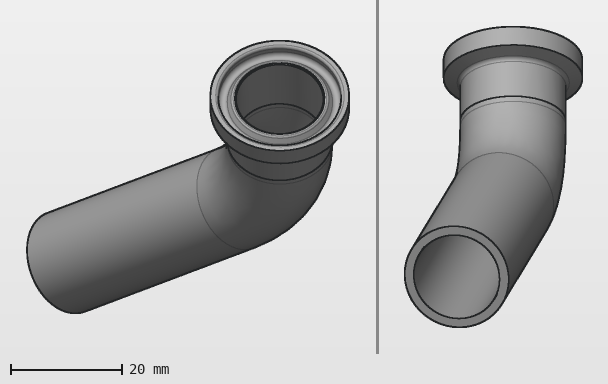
import cadquery as cq
import math

tube_radius = 9.5
wall = 1.7
bore_radius = tube_radius - wall

flange_radius = 12.5
rim_height = 3.8
ferrule_length = 12.6
flange_back_angle = 20
neck_fillet = 0.9

groove_wall_radius = 11.0
rim_round = 0.5
groove_depth = 2.25
groove_floor_round = 0.9
lip_depth = 0.9
lip_slope_angle = 52
lip_round = 0.5
mouth_bevel = 0.2

stub_length = 1.0
bend_radius = 28.4
bend_angle = 45
leg_length = 45.4


def arc_point(center, radius, degrees):
    """Point on a circle, with the angle counted from the outward direction."""
    angle = math.radians(degrees)
    return (center[0] + radius * math.cos(angle), center[1] + radius * math.sin(angle))


def revolve_about_z(profile):
    """Turn a closed radius-height profile into a full solid of revolution."""
    return profile.close().revolve(360, (0, 0, 0), (0, 1, 0))


def make_ferrule_blank():
    """Flange with a sloped back, blended into the neck."""
    slope_angle = math.radians(flange_back_angle)
    slope_end_z = -rim_height - (flange_radius - tube_radius) * math.tan(slope_angle)
    tangent_length = neck_fillet * math.tan((math.pi / 2 - slope_angle) / 2)
    fillet_start = (
        tube_radius + tangent_length * math.cos(slope_angle),
        slope_end_z + tangent_length * math.sin(slope_angle),
    )
    fillet_center = (tube_radius + neck_fillet, slope_end_z - tangent_length)
    fillet_middle_angle = 180 - (90 - flange_back_angle) / 2
    return revolve_about_z(
        cq.Workplane("XZ")
        .moveTo(bore_radius, 0)
        .lineTo(flange_radius, 0)
        .lineTo(flange_radius, -rim_height)
        .lineTo(*fillet_start)
        .threePointArc(
            arc_point(fillet_center, neck_fillet, fillet_middle_angle),
            (tube_radius, fillet_center[1]),
        )
        .lineTo(tube_radius, -ferrule_length)
        .lineTo(bore_radius, -ferrule_length)
    )


def make_face_recess():
    """Space above the groove, the rounded lip and the beveled bore mouth."""
    rim_center = (groove_wall_radius + rim_round, -rim_round)
    floor_center = (groove_wall_radius - groove_floor_round, groove_floor_round - groove_depth)
    slope_start_angle = 270 - lip_slope_angle
    slope_start = arc_point(floor_center, groove_floor_round, slope_start_angle)

    lip_center_z = -lip_depth - lip_round
    slope_end_angle = 90 - lip_slope_angle
    slope_end_z = arc_point((0, lip_center_z), lip_round, slope_end_angle)[1]
    slope_run = (slope_end_z - slope_start[1]) / math.tan(math.radians(lip_slope_angle))
    slope_end = (slope_start[0] - slope_run, slope_end_z)
    lip_center_radius = slope_end[0] - lip_round * math.cos(math.radians(slope_end_angle))
    lip_center = (lip_center_radius, lip_center_z)

    return revolve_about_z(
        cq.Workplane("XZ")
        .moveTo(0, 0)
        .lineTo(rim_center[0], 0)
        .threePointArc(
            arc_point(rim_center, rim_round, 135),
            (groove_wall_radius, rim_center[1]),
        )
        .lineTo(groove_wall_radius, floor_center[1])
        .threePointArc(
            arc_point(floor_center, groove_floor_round, (360 + slope_start_angle) / 2),
            slope_start,
        )
        .lineTo(*slope_end)
        .threePointArc(
            arc_point(lip_center, lip_round, (slope_end_angle + 90) / 2),
            (lip_center_radius, -lip_depth),
        )
        .lineTo(bore_radius + mouth_bevel, -lip_depth)
        .lineTo(bore_radius, -lip_depth - mouth_bevel)
        .lineTo(0, -lip_depth - mouth_bevel)
    )


def make_ferrule():
    """Clamp ferrule with its recessed sealing face."""
    return make_ferrule_blank().cut(make_face_recess())


def make_tube():
    """Sweep the tube ring down the stub, around the elbow and along the leg."""
    angle = math.radians(bend_angle)
    bend_start_z = -ferrule_length - stub_length

    def bend_point(turn):
        return (
            -bend_radius * (1 - math.cos(turn)),
            bend_start_z - bend_radius * math.sin(turn),
        )

    bend_end = bend_point(angle)
    leg_end = (
        bend_end[0] - leg_length * math.sin(angle),
        bend_end[1] - leg_length * math.cos(angle),
    )
    path = (
        cq.Workplane("XZ")
        .moveTo(0, -ferrule_length)
        .lineTo(0, bend_start_z)
        .threePointArc(bend_point(angle / 2), bend_end)
        .lineTo(*leg_end)
    )
    return (
        cq.Workplane("XY", origin=(0, 0, -ferrule_length))
        .circle(tube_radius)
        .circle(bore_radius)
        .sweep(path)
    )


ferrule = make_ferrule()
tube = make_tube()
result = cq.Compound.makeCompound([ferrule.val(), tube.val()])